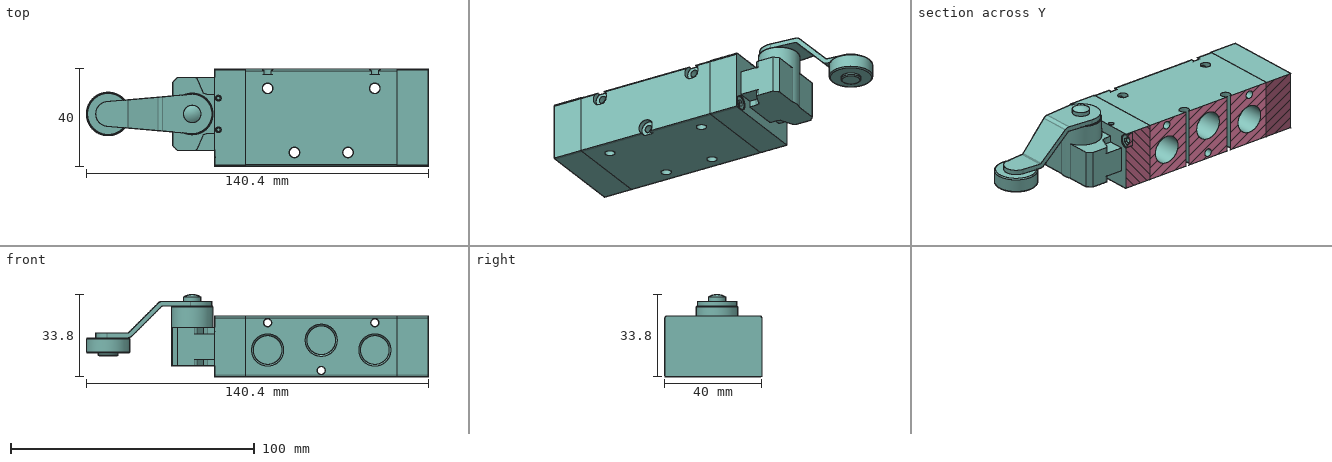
import cadquery as cq
import math


valve_length = 87.7
valve_width = 40.0
valve_height = 25.0
front_cap_length = 12.7
rear_cap_length = 13.0
body_length = valve_length - front_cap_length - rear_cap_length
body_edge_chamfer = 0.8
cap_edge_chamfer = 0.45
base_edge_rise = 0.7
base_edge_setback = 0.15

port_middle_x = front_cap_length + body_length / 2
port_pitch = 22.0
port_diameter = 11.8
port_mouth_diameter = 13.2
port_depth = 15.0
outer_port_z = 11.0
middle_port_z = 15.0
vertical_hole_diameter = 4.2
rear_row_y = 12.0
front_row_y = -14.3
side_hole_diameter = 3.2
upper_side_hole_z = 22.2
lower_side_hole_z = 2.6
counterbore_diameter = 6.3
counterbore_depth = 2.3

screw_y = 16.3
screw_z = 9.1
screw_head_diameter = 5.6
screw_bore_diameter = 6.0
screw_head_height = 3.0
screw_recess = 0.4
socket_width = 2.5
socket_depth = 1.0
socket_cone_depth = 0.7

locating_hole_diameter = 1.5
locating_mouth_diameter = 2.4
locating_hole_depth = 1.0
locating_hole_x = 1.5
locating_hole_offset = 6.5

lever_y = 1.5
holder_length = 17.3
holder_width = 30.0
holder_bottom = 4.45
holder_top = 20.3
holder_chamfer = 2.0
hub_radius = 8.55
hub_top = 29.0
hub_chamfer = 0.3
pivot_x = -9.25
notch_height = 2.7
notch_half_width = 8.0
notch_start_x = -8.4
notch_round_radius = 1.45
notch_wall_angle = 67.0
notch_corner = (-4.65, 8.5)
notch_floor_x = -3.0

plate_thickness = 2.0
lever_large_radius = 8.1
lever_small_radius = 5.1
roller_radius = 8.95
lever_drop = 13.0
bend_angle = 45.0
upper_bend_x = -22.5
bend_inner_radius = 0.7
bend_outer_radius = bend_inner_radius + plate_thickness
pin_radius = 3.58
pin_shoulder_z = 32.7
pin_top_z = 33.82

overall_length = 140.4
roller_left = valve_length - overall_length
roller_x = roller_left + roller_radius
roller_height = 6.3
roller_chamfer = 0.5
roller_boss_radius = 4.1
roller_boss_height = 1.2
roller_boss_chamfer = 0.45


def valve_block(x_start, length, edge_chamfer):
    """A slice of the valve with all its long edges broken."""
    block = cq.Workplane("XY").box(length, valve_width, valve_height, centered=(False, True, False))
    block = block.faces(">Z").edges("|X").chamfer(body_edge_chamfer, edge_chamfer)
    block = block.faces("<Z").edges("|X").chamfer(base_edge_rise, base_edge_setback)
    return block.translate((x_start, 0, 0))


def upright_cylinder(x, y, z, radius, height):
    return cq.Workplane("XY", origin=(x, y, z)).circle(radius).extrude(height)


def crosswise_cylinder(x, y, z, radius, length):
    """A cylinder that starts at y and runs toward +Y."""
    return cq.Workplane("XZ", origin=(x, y, z)).circle(radius).extrude(-length)


def lengthwise_cylinder(x, y, z, diameter, length):
    """A cylinder that starts at x and runs toward +X."""
    return cq.Workplane("YZ", origin=(x, y, z)).circle(diameter / 2).extrude(length)


def port(x, z):
    mouth_depth = (port_mouth_diameter - port_diameter) / 2
    bore = crosswise_cylinder(x, -valve_width / 2, z, port_diameter / 2, port_depth)
    mouth = (
        cq.Workplane("XZ", origin=(x, -valve_width / 2, z))
        .circle(port_mouth_diameter / 2)
        .workplane(offset=-mouth_depth)
        .circle(port_diameter / 2)
        .loft()
    )
    return bore.union(mouth)


def valve_body():
    body = valve_block(front_cap_length, body_length, body_edge_chamfer)
    port_places = [
        (-port_pitch, outer_port_z),
        (0, middle_port_z),
        (port_pitch, outer_port_z),
    ]
    for offset, z in port_places:
        body = body.cut(port(port_middle_x + offset, z))
    hole_places = [
        (-port_pitch, rear_row_y),
        (port_pitch, rear_row_y),
        (-port_pitch / 2, front_row_y),
        (port_pitch / 2, front_row_y),
    ]
    for offset, y in hole_places:
        body = body.cut(
            upright_cylinder(port_middle_x + offset, y, 0, vertical_hole_diameter / 2, valve_height)
        )
    side_places = [
        (-port_pitch, upper_side_hole_z),
        (0, lower_side_hole_z),
        (port_pitch, upper_side_hole_z),
    ]
    counterbore_y = valve_width / 2 - counterbore_depth
    for offset, z in side_places:
        x = port_middle_x + offset
        body = body.cut(crosswise_cylinder(x, -valve_width / 2, z, side_hole_diameter / 2, valve_width))
        body = body.cut(crosswise_cylinder(x, counterbore_y, z, counterbore_diameter / 2, counterbore_depth))
    return body


screw_places = [(side * screw_y, valve_height / 2 - side * screw_z) for side in (1, -1)]


def front_cap():
    cap = valve_block(0, front_cap_length, cap_edge_chamfer)
    for y, z in screw_places:
        cap = cap.cut(lengthwise_cylinder(0, y, z, screw_bore_diameter, screw_recess))
        cap = cap.cut(lengthwise_cylinder(screw_recess, y, z, screw_head_diameter, screw_head_height))
    mouth_depth = (locating_mouth_diameter - locating_hole_diameter) / 2
    for side in (1, -1):
        y = lever_y + side * locating_hole_offset
        floor_z = valve_height - locating_hole_depth
        cap = cap.cut(
            upright_cylinder(locating_hole_x, y, floor_z, locating_hole_diameter / 2, locating_hole_depth)
        )
        mouth = (
            cq.Workplane("XY", origin=(locating_hole_x, y, valve_height))
            .circle(locating_mouth_diameter / 2)
            .workplane(offset=-mouth_depth)
            .circle(locating_hole_diameter / 2)
            .loft()
        )
        cap = cap.cut(mouth)
    return cap


def cap_screw(y, z):
    """A sunk screw head with a hexagon socket that ends in a cone."""
    head = lengthwise_cylinder(screw_recess, y, z, screw_head_diameter, screw_head_height)
    socket = (
        cq.Workplane("YZ", origin=(screw_recess, y, z))
        .polygon(6, socket_width, circumscribed=True)
        .extrude(socket_depth)
    )
    cone = cq.Workplane(
        cq.Solid.makeCone(
            socket_width / 2,
            0,
            socket_cone_depth,
            pnt=cq.Vector(screw_recess + socket_depth, y, z),
            dir=cq.Vector(1, 0, 0),
        )
    )
    return head.cut(socket).cut(cone)


def notch_round_point(angle, side):
    """A point on the rounded start of a holder notch, at an angle from the side face."""
    turn = math.radians(angle)
    x = notch_start_x + notch_round_radius * math.sin(turn)
    depth = notch_round_radius * (1 - math.cos(turn))
    return (x, side * (holder_width / 2 - depth))


def lever_holder():
    height = holder_top - holder_bottom
    block = (
        cq.Workplane("XY")
        .box(holder_length, holder_width, height, centered=(False, True, False))
        .translate((-holder_length, 0, holder_bottom))
    )
    block = block.faces("<X").edges("|Z").chamfer(holder_chamfer)
    edge = holder_width / 2
    for side in (1, -1):
        for floor_z in (holder_bottom, holder_top - notch_height):
            notch = (
                cq.Workplane("XY", origin=(0, 0, floor_z))
                .moveTo(notch_start_x, side * edge)
                .threePointArc(
                    notch_round_point(notch_wall_angle / 2, side),
                    notch_round_point(notch_wall_angle, side),
                )
                .lineTo(notch_corner[0], side * notch_corner[1])
                .lineTo(notch_floor_x, side * notch_half_width)
                .lineTo(0, side * notch_half_width)
                .lineTo(0, side * edge)
                .close()
                .extrude(notch_height)
            )
            block = block.cut(notch)
    block = block.translate((0, lever_y, 0))
    hub = upright_cylinder(pivot_x, lever_y, holder_bottom, hub_radius, hub_top - holder_bottom)
    hub = hub.faces(">Z").edges().chamfer(hub_chamfer)
    return block.union(hub)


def lever_side_profile():
    """The bent strip, seen from the side, with both ends left long."""
    slope = math.radians(bend_angle)
    run = lever_drop / math.tan(slope)
    setback = plate_thickness * math.tan(slope / 2)
    lower_bend_x = upper_bend_x - run
    low_end = roller_x - roller_radius
    high_end = pivot_x + hub_radius
    top = hub_top + plate_thickness
    strip = (
        cq.Workplane("XZ", origin=(0, roller_radius, 0))
        .moveTo(low_end, top - lever_drop)
        .lineTo(lower_bend_x, top - lever_drop)
        .lineTo(upper_bend_x, top)
        .lineTo(high_end, top)
        .lineTo(high_end, hub_top)
        .lineTo(upper_bend_x + setback, hub_top)
        .lineTo(lower_bend_x + setback, hub_top - lever_drop)
        .lineTo(low_end, hub_top - lever_drop)
        .close()
        .extrude(2 * roller_radius)
    )
    upper_outer = cq.selectors.NearestToPointSelector((upper_bend_x, 0, top))
    lower_outer = cq.selectors.NearestToPointSelector((lower_bend_x + setback, 0, hub_top - lever_drop))
    upper_inner = cq.selectors.NearestToPointSelector((upper_bend_x + setback, 0, hub_top))
    lower_inner = cq.selectors.NearestToPointSelector((lower_bend_x, 0, top - lever_drop))
    strip = strip.edges("|Y").edges(upper_outer).fillet(bend_outer_radius)
    strip = strip.edges("|Y").edges(lower_outer).fillet(bend_outer_radius)
    strip = strip.edges("|Y").edges(upper_inner).fillet(bend_inner_radius)
    strip = strip.edges("|Y").edges(lower_inner).fillet(bend_inner_radius)
    return strip


def lever_outline():
    """Two end circles joined by their common tangents."""
    spacing = pivot_x - roller_x
    tilt = math.asin((lever_large_radius - lever_small_radius) / spacing)
    small_x = roller_x - lever_small_radius * math.sin(tilt)
    small_y = lever_small_radius * math.cos(tilt)
    large_x = pivot_x - lever_large_radius * math.sin(tilt)
    large_y = lever_large_radius * math.cos(tilt)
    return (
        cq.Workplane("XY")
        .moveTo(small_x, small_y)
        .lineTo(large_x, large_y)
        .threePointArc((pivot_x + lever_large_radius, 0), (large_x, -large_y))
        .lineTo(small_x, -small_y)
        .threePointArc((roller_x - lever_small_radius, 0), (small_x, small_y))
        .close()
        .extrude(pin_top_z)
    )


def lever():
    """The bent plate with the domed pin head on its large end."""
    plate = lever_side_profile().intersect(lever_outline())
    plate_top = hub_top + plate_thickness
    dome_rise = pin_top_z - pin_shoulder_z
    dome_radius = (pin_radius**2 + dome_rise**2) / (2 * dome_rise)
    half_angle = math.asin(pin_radius / dome_radius) / 2
    dome_middle = (
        dome_radius * math.sin(half_angle),
        pin_top_z - dome_radius * (1 - math.cos(half_angle)),
    )
    pin = (
        cq.Workplane("XZ")
        .moveTo(0, plate_top)
        .lineTo(pin_radius, plate_top)
        .lineTo(pin_radius, pin_shoulder_z)
        .threePointArc(dome_middle, (0, pin_top_z))
        .close()
        .revolve(360, (0, 0), (0, 1))
    )
    return plate.union(pin.translate((pivot_x, 0, 0))).translate((0, lever_y, 0))


def roller():
    top = hub_top - lever_drop
    wheel = upright_cylinder(roller_x, lever_y, top - roller_height, roller_radius, roller_height)
    wheel = wheel.edges().chamfer(roller_chamfer)
    boss_bottom = top - roller_height - roller_boss_height
    boss = upright_cylinder(roller_x, lever_y, boss_bottom, roller_boss_radius, roller_boss_height)
    boss = boss.faces("<Z").edges().chamfer(roller_boss_chamfer)
    return wheel.union(boss)


rear_cap = valve_block(valve_length - rear_cap_length, rear_cap_length, cap_edge_chamfer)
cap_screws = [cap_screw(y, z).val() for y, z in screw_places]

result = cq.Compound.makeCompound(
    [
        valve_body().val(),
        front_cap().val(),
        rear_cap.val(),
        *cap_screws,
        lever_holder().val(),
        lever().val(),
        roller().val(),
    ]
)